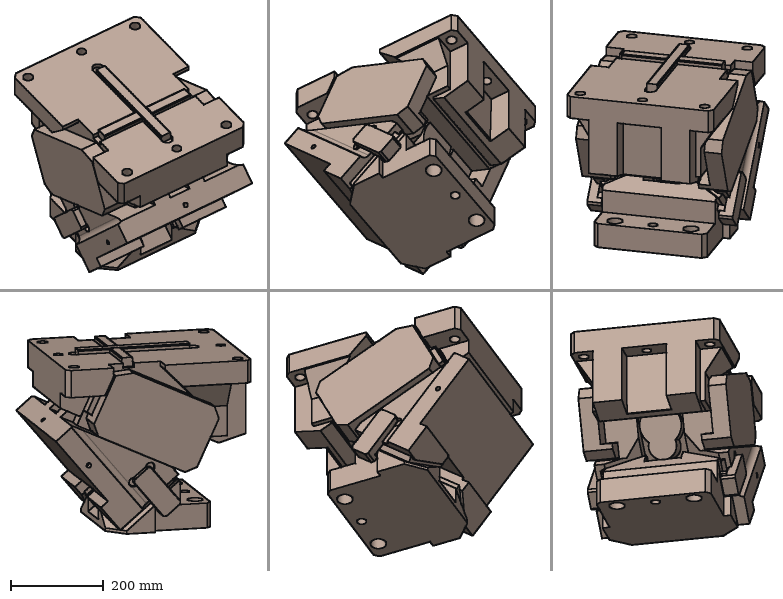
import cadquery as cq
import math


UNIT_HEIGHT = 384.0
KEY_PROUD = 10.0
PLATE_TOP = UNIT_HEIGHT - KEY_PROUD
PLATE_LENGTH = 415.0
PLATE_HALF = 165.0
CORNER_CHAMFER = 10.0

SLIDE_ANGLE = math.radians(25)
SLIDE_X = 61.0
SLIDE_Z = 183.5
CAM_ANGLE = math.radians(40)
CAM_X = 164.1
CAM_Z = 124.0


def slide_point(along, depth):
    x = SLIDE_X + along * math.cos(SLIDE_ANGLE) + depth * math.sin(SLIDE_ANGLE)
    z = SLIDE_Z + along * math.sin(SLIDE_ANGLE) - depth * math.cos(SLIDE_ANGLE)
    return (x, z)


def cam_point(rise, travel):
    x = CAM_X + rise * math.sin(CAM_ANGLE) + travel * math.cos(CAM_ANGLE)
    z = CAM_Z + rise * math.cos(CAM_ANGLE) - travel * math.sin(CAM_ANGLE)
    return (x, z)


def side_prism(points, half_width):
    """Side outline in X and Z, extruded evenly about Y = 0."""
    return cq.Workplane("XZ").polyline(points).close().extrude(half_width, both=True)


def side_prism_between(points, y_start, y_end):
    """Side outline in X and Z, extruded from one Y to another."""
    return cq.Workplane("XZ", origin=(0, y_start, 0)).polyline(points).close().extrude(y_start - y_end)


def slide_prism(outline, half_width):
    return side_prism([slide_point(along, depth) for along, depth in outline], half_width)


def cam_prism(outline, half_width):
    return side_prism([cam_point(rise, travel) for rise, travel in outline], half_width)


def ridge_workplane(travel):
    """Plane across the driver ridge: local X is Y, local Y is the rise."""
    x, z = cam_point(0, travel)
    normal = (math.cos(CAM_ANGLE), 0, -math.sin(CAM_ANGLE))
    return cq.Workplane(cq.Plane(origin=(x, 0, z), xDir=(0, 1, 0), normal=normal))


def ridge_prism(section, travel_start, travel_end):
    """Section in Y and rise, extruded along the ridge."""
    return ridge_workplane(travel_start).polyline(section).close().extrude(travel_end - travel_start)


def both_sides(body):
    return body.union(body.mirror("XZ"))


FLANGE_HALF = 124.0
FLANGE_DEPTH = 48.0
NECK_HALF = 98.0
SHOULDER_DEPTH = 62.0
SIDE_SHOULDER_DEPTH = 84.0
SLIDER_START = 91.0
SLIDER_END = 306.0
LUG_START = 312.0

ROOF_SLOPE = math.tan(math.radians(30))
ROOF_PEAK = 63.5
GROOVE_EDGE = 127.0
DRIVER_LIP_HALF = 131.0
DRIVER_FLANGE_HALF = 142.5
DRIVER_FLANGE_BOTTOM = -31.5
KEEPER_START = 30.6
KEEPER_END = 80.0


def roof_rise(y):
    return ROOF_PEAK - ROOF_SLOPE * y


CORE_HALF = 125.0
LEFT_PLATE_BOTTOM = PLATE_TOP - 50.0
RIGHT_PLATE_BOTTOM = PLATE_TOP - 60.0
NOTCH_LEFT = 194.0
NOTCH_RIGHT = 310.0
NOTCH_LIP = 10.0
NOTCH_FOOT = NOTCH_LEFT - (PLATE_TOP - NOTCH_LIP - LEFT_PLATE_BOTTOM)
NOTCH_RIGHT_ALONG = 298.0
WALL_DEPTH = 45.0
WALL_HALF = 114.0
WALL_BOTTOM = 201.0
WALL_TIP_ALONG = 31.0
RECESS_HALF = 49.5
RECESS_FLOOR = 188.3
RECESS_TAPER = 3.0
GUSSET_HALF = 161.0
GUSSET_BOTTOM = 267.5

HOOK_HALF = 164.0
HOOK_FOOT_INNER = 99.0
HOOK_FOOT_DEPTH = 49.0
HOOK_START = 39.0
HOOK_END = 294.0
HOOK_TOP = -74.3
HOOK_BOTTOM = 82.0
HOOK_CORNER = 20.5
HOOK_WIDE_CORNER = 35.0

KEY_WIDTH = 24.0
KEY_BEVEL_HEIGHT = 3.0
KEY_BEVEL_WIDTH = 1.0
KEY_SLOT_WIDTH = 25.0
KEY_SLOT_DEPTH = 10.0
LONG_KEY_START = 98.0
LONG_KEY_LENGTH = 250.0
LONG_SLOT_START = 74.5
LONG_SLOT_END = 365.0
CROSS_KEY_X = 265.0
CROSS_KEY_LENGTH = 225.0

SCREW_DIAMETER = 22.0
DOWEL_DIAMETER = 20.0
LEFT_HOLE_X = 25.0
LEFT_HOLE_Y = 140.0
RIGHT_HOLE_X = 389.0
RIGHT_HOLE_Y = 130.0


def plate():
    """Top plate of two thicknesses, notched on both sides for the hook plates."""
    blank = (
        cq.Workplane("XY", origin=(0, 0, RIGHT_PLATE_BOTTOM))
        .rect(PLATE_LENGTH, 2 * PLATE_HALF)
        .extrude(PLATE_TOP - RIGHT_PLATE_BOTTOM)
        .edges("|Z")
        .chamfer(CORNER_CHAMFER)
        .translate((PLATE_LENGTH / 2, 0, 0))
    )
    left_part = [
        (0, PLATE_TOP),
        (NOTCH_LEFT, PLATE_TOP),
        (NOTCH_LEFT, PLATE_TOP - NOTCH_LIP),
        (NOTCH_FOOT, LEFT_PLATE_BOTTOM),
        (0, LEFT_PLATE_BOTTOM),
    ]
    notch_slope = math.tan(SLIDE_ANGLE)
    slant_x, slant_z = slide_point(NOTCH_RIGHT_ALONG, 0)
    right_part = [
        (NOTCH_RIGHT, PLATE_TOP),
        (PLATE_LENGTH, PLATE_TOP),
        (PLATE_LENGTH, RIGHT_PLATE_BOTTOM),
        (slant_x - (RIGHT_PLATE_BOTTOM - slant_z) * notch_slope, RIGHT_PLATE_BOTTOM),
        (NOTCH_RIGHT, slant_z + (slant_x - NOTCH_RIGHT) / notch_slope),
    ]
    profile = side_prism(left_part, PLATE_HALF).union(side_prism(right_part, PLATE_HALF))
    return blank.intersect(profile)


def core():
    """Central block whose underside is the inclined slide surface, behind a recessed front wall."""
    slide_slope = math.tan(SLIDE_ANGLE)
    side_bottom_x = SLIDE_X + (WALL_BOTTOM - SLIDE_Z) / slide_slope
    end_x, end_z = slide_point(LUG_START, 0)
    block = side_prism(
        [
            (WALL_DEPTH, PLATE_TOP),
            (WALL_DEPTH, WALL_BOTTOM),
            (side_bottom_x, WALL_BOTTOM),
            (end_x, end_z),
            (end_x, PLATE_TOP),
        ],
        CORE_HALF,
    )
    tip_x, tip_z = slide_point(WALL_TIP_ALONG, 0)
    wall = side_prism(
        [
            (0, LEFT_PLATE_BOTTOM),
            (0, WALL_BOTTOM),
            (SLIDE_X, SLIDE_Z),
            (tip_x, tip_z),
            (tip_x, LEFT_PLATE_BOTTOM),
        ],
        WALL_HALF,
    )
    recess = side_prism(
        [
            (0, LEFT_PLATE_BOTTOM),
            (WALL_DEPTH, LEFT_PLATE_BOTTOM),
            (WALL_DEPTH + RECESS_TAPER, RECESS_FLOOR),
            (0, RECESS_FLOOR),
        ],
        RECESS_HALF,
    )
    return block.union(wall).cut(recess)


def stop_lug():
    """Lug below the right end of the plate that faces the end of the slider."""
    corner_x, corner_z = slide_point(LUG_START, SHOULDER_DEPTH)
    end_z = corner_z + (PLATE_LENGTH - corner_x) * math.tan(SLIDE_ANGLE)
    return side_prism(
        [
            slide_point(LUG_START, 0),
            (corner_x, corner_z),
            (PLATE_LENGTH, end_z),
            (PLATE_LENGTH, RIGHT_PLATE_BOTTOM),
        ],
        WALL_HALF,
    )


def gussets():
    """Sloped braces from the core sides out to the plate, cut off by the notch slope."""
    height = LEFT_PLATE_BOTTOM - GUSSET_BOTTOM
    wedge = (
        cq.Workplane("YZ", origin=(WALL_DEPTH, 0, 0))
        .polyline(
            [
                (CORE_HALF, LEFT_PLATE_BOTTOM),
                (GUSSET_HALF, LEFT_PLATE_BOTTOM),
                (CORE_HALF, GUSSET_BOTTOM),
            ]
        )
        .close()
        .extrude(NOTCH_FOOT - WALL_DEPTH)
    )
    keep = side_prism(
        [
            (WALL_DEPTH, LEFT_PLATE_BOTTOM),
            (NOTCH_FOOT, LEFT_PLATE_BOTTOM),
            (NOTCH_FOOT - height, GUSSET_BOTTOM),
            (WALL_DEPTH, GUSSET_BOTTOM),
        ],
        PLATE_HALF,
    )
    return both_sides(wedge.intersect(keep))


def hook_plates():
    """Side plates with a foot that reaches under the slider flange."""
    outline = [
        (HOOK_START, HOOK_TOP + HOOK_CORNER),
        (HOOK_START + HOOK_CORNER, HOOK_TOP),
        (HOOK_END - HOOK_WIDE_CORNER, HOOK_TOP),
        (HOOK_END, HOOK_TOP + HOOK_CORNER),
        (HOOK_END, HOOK_BOTTOM - HOOK_CORNER),
        (HOOK_END - HOOK_CORNER, HOOK_BOTTOM),
        (HOOK_START + HOOK_CORNER, HOOK_BOTTOM),
        (HOOK_START, HOOK_BOTTOM - HOOK_CORNER),
    ]
    points = [slide_point(along, depth) for along, depth in outline]
    cheek = side_prism_between(points, CORE_HALF, HOOK_HALF)
    foot_band = slide_prism(
        [
            (HOOK_START, HOOK_FOOT_DEPTH),
            (HOOK_END, HOOK_FOOT_DEPTH),
            (HOOK_END, HOOK_BOTTOM),
            (HOOK_START, HOOK_BOTTOM),
        ],
        HOOK_HALF,
    )
    foot = side_prism_between(points, HOOK_FOOT_INNER, CORE_HALF).intersect(foot_band)
    return both_sides(cheek.union(foot))


def key_bar(length):
    """Key along X, centred on the origin, its floor at Z = 0 and its long top edges bevelled."""
    half = KEY_WIDTH / 2
    height = KEY_PROUD + KEY_SLOT_DEPTH
    section = [
        (-half, 0),
        (half, 0),
        (half, height - KEY_BEVEL_HEIGHT),
        (half - KEY_BEVEL_WIDTH, height),
        (KEY_BEVEL_WIDTH - half, height),
        (-half, height - KEY_BEVEL_HEIGHT),
    ]
    return cq.Workplane("YZ").polyline(section).close().extrude(length / 2, both=True)


def key_slots():
    floor = PLATE_TOP - KEY_SLOT_DEPTH
    long_slot = (
        cq.Workplane("XY", origin=((LONG_SLOT_START + LONG_SLOT_END) / 2, 0, floor))
        .slot2D(LONG_SLOT_END - LONG_SLOT_START, KEY_SLOT_WIDTH)
        .extrude(KEY_SLOT_DEPTH)
    )
    cross_slot = (
        cq.Workplane("XY", origin=(CROSS_KEY_X, 0, floor))
        .rect(KEY_SLOT_WIDTH, 2 * CORE_HALF)
        .extrude(KEY_SLOT_DEPTH)
    )
    return long_slot.union(cross_slot)


def keys():
    """Long key, and a cross key split in two where the long slot passes."""
    floor = PLATE_TOP - KEY_SLOT_DEPTH
    long_key = key_bar(LONG_KEY_LENGTH).translate((LONG_KEY_START + LONG_KEY_LENGTH / 2, 0, floor))
    cross_key = (
        key_bar(CROSS_KEY_LENGTH)
        .rotate((0, 0, 0), (0, 0, 1), 90)
        .translate((CROSS_KEY_X, 0, floor))
    )
    long_slot_room = cq.Workplane("XY").box(PLATE_LENGTH * 2, KEY_SLOT_WIDTH, UNIT_HEIGHT * 2)
    return long_key.union(cross_key.cut(long_slot_room))


def plate_holes():
    def drill(points, diameter):
        return cq.Workplane("XY").pushPoints(points).circle(diameter / 2).extrude(UNIT_HEIGHT)

    screws = [(LEFT_HOLE_X, side * LEFT_HOLE_Y) for side in (-1, 1)]
    screws += [(RIGHT_HOLE_X, side * RIGHT_HOLE_Y) for side in (-1, 1)]
    dowels = [(LEFT_HOLE_X, 0), (RIGHT_HOLE_X, 0)]
    return drill(screws, SCREW_DIAMETER).union(drill(dowels, DOWEL_DIAMETER))


holder = plate().union(core()).union(stop_lug()).union(gussets()).cut(plate_holes()).cut(key_slots())
holder = holder.union(keys()).union(hook_plates())

SLIDER_NOSE = -5.3
SLIDER_SIDE_HALF = 149.0
BAR_HALF = 164.0
BAR_FILLET_END = 104.0
BAR_STEP = BAR_HALF - SLIDER_SIDE_HALF
WORKING_FACE = 149.5
TOE_FACE = 170.0
TOE_TOP = 68.0
SLIDER_TOP = 249.0
END_RIB_INNER = 25.0
END_RIB_OUTER = 65.0
WEAR_PLATE_START = 10.0
WEAR_PLATE_END = 162.0
WEAR_PLATE_INNER = 41.5
WEAR_PLATE_END_SLANT = 7.0
GROOVE_CHANNEL_HALF = 51.0

KEEPER_BOTTOM = -47.5
KEEPER_TOP = 63.0
KEEPER_INNER = 143.0
KEEPER_HOOK_INNER = 132.0
KEEPER_CHAMFER = 5.0
RELIEF_RADIUS = 10.0
RELIEF_DEPTH = 9.0
RELIEF_RISE = 55.5

SPRING_BOSS_LENGTH = 60.0
SPRING_BOSSES = [(20.0, 46.0), (65.0, 31.0)]

TAP_DIAMETER = 10.0
TAP_DEPTH = 20.0
TAP_TRAVEL = 129.5
SIDE_TAP_RISE = 158.0


def cam_body():
    """Full-width body across the driver, with concave steps from the sides out to the bar."""
    outline = [
        (0, SLIDER_NOSE),
        (0, TOE_FACE),
        (TOE_TOP, TOE_FACE),
        (TOE_TOP, WORKING_FACE),
        (SLIDER_TOP, WORKING_FACE),
        (SLIDER_TOP, SLIDER_NOSE),
    ]
    block = cam_prism(outline, BAR_HALF)
    start_x, start_z = cam_point(0, 0)
    along_rise = cq.Plane(
        origin=(start_x, 0, start_z),
        xDir=(math.cos(CAM_ANGLE), 0, -math.sin(CAM_ANGLE)),
        normal=(math.sin(CAM_ANGLE), 0, math.cos(CAM_ANGLE)),
    )
    fillet_start = BAR_FILLET_END - BAR_STEP
    quarter = BAR_STEP * math.sqrt(0.5)
    step = (
        cq.Workplane(along_rise)
        .moveTo(SLIDER_NOSE, SLIDER_SIDE_HALF)
        .lineTo(fillet_start, SLIDER_SIDE_HALF)
        .threePointArc(
            (fillet_start + quarter, BAR_HALF - quarter),
            (BAR_FILLET_END, BAR_HALF),
        )
        .lineTo(SLIDER_NOSE, BAR_HALF)
        .close()
        .extrude(SLIDER_TOP)
    )
    reach = 2 * SLIDER_END
    above_shoulder = slide_prism(
        [
            (-reach, SIDE_SHOULDER_DEPTH),
            (reach, SIDE_SHOULDER_DEPTH),
            (reach, -reach),
            (-reach, -reach),
        ],
        BAR_HALF,
    )
    return block.cut(both_sides(step)).cut(above_shoulder)


def slide_neck():
    return slide_prism(
        [
            (SLIDER_START, 0),
            (SLIDER_END, 0),
            (SLIDER_END, SIDE_SHOULDER_DEPTH),
            (SLIDER_START, SIDE_SHOULDER_DEPTH),
        ],
        NECK_HALF,
    )


def end_ribs():
    """Ribs from the end of the neck to the end face of the slider."""
    reach = 2 * SLIDER_END
    points = [
        slide_point(SLIDER_END, SHOULDER_DEPTH),
        slide_point(reach, SHOULDER_DEPTH),
        slide_point(reach, SIDE_SHOULDER_DEPTH),
        slide_point(SLIDER_END, SIDE_SHOULDER_DEPTH),
    ]
    rib = side_prism_between(points, END_RIB_INNER, END_RIB_OUTER)
    below_top = cam_prism(
        [(0, 0), (SLIDER_TOP, 0), (SLIDER_TOP, WORKING_FACE), (0, WORKING_FACE)],
        BAR_HALF,
    )
    return both_sides(rib.intersect(below_top))


def slide_flange():
    return slide_prism(
        [
            (SLIDER_START, 0),
            (SLIDER_END, 0),
            (SLIDER_END, FLANGE_DEPTH),
            (SLIDER_START, FLANGE_DEPTH),
        ],
        FLANGE_HALF,
    )


def groove():
    """V groove that straddles the driver ridge, opened to a square channel in the middle."""
    peak = ROOF_SLOPE * GROOVE_EDGE
    channel_edge = peak - ROOF_SLOPE * GROOVE_CHANNEL_HALF
    section = [
        (-GROOVE_EDGE, 0),
        (-GROOVE_CHANNEL_HALF, channel_edge),
        (-GROOVE_CHANNEL_HALF, peak),
        (GROOVE_CHANNEL_HALF, peak),
        (GROOVE_CHANNEL_HALF, channel_edge),
        (GROOVE_EDGE, 0),
    ]
    return ridge_prism(section, -TOE_FACE, 2 * TOE_FACE)


def wear_plates():
    """Plates that fill the groove down to the driver roof."""
    section = [
        (WEAR_PLATE_INNER, roof_rise(WEAR_PLATE_INNER)),
        (DRIVER_LIP_HALF, roof_rise(DRIVER_LIP_HALF)),
        (DRIVER_LIP_HALF + WEAR_PLATE_END_SLANT, 0),
        (GROOVE_EDGE, 0),
        (WEAR_PLATE_INNER, ROOF_SLOPE * (GROOVE_EDGE - WEAR_PLATE_INNER)),
    ]
    return both_sides(ridge_prism(section, WEAR_PLATE_START, WEAR_PLATE_END))


def spring_bosses():
    """Round bosses along the slide direction, under the middle of the slider nose."""
    direction = (math.cos(SLIDE_ANGLE), 0, math.sin(SLIDE_ANGLE))
    bosses = cq.Workplane("XY")
    for depth, radius in SPRING_BOSSES:
        x, z = slide_point(SLIDER_START, depth)
        plane = cq.Plane(origin=(x, 0, z), xDir=(0, 1, 0), normal=direction)
        bosses = bosses.union(cq.Workplane(plane).circle(radius).extrude(SPRING_BOSS_LENGTH))
    below_slide_surface = slide_prism(
        [(0, 0), (SLIDER_END, 0), (SLIDER_END, SLIDER_END), (0, SLIDER_END)],
        GROOVE_CHANNEL_HALF,
    )
    return bosses.intersect(below_slide_surface)


def keepers():
    """Side claws that hook under the driver flange."""
    corners = [
        cam_point(KEEPER_BOTTOM, KEEPER_START),
        cam_point(KEEPER_TOP, KEEPER_START),
        cam_point(KEEPER_TOP, KEEPER_END),
        cam_point(KEEPER_BOTTOM, KEEPER_END),
    ]
    claw = side_prism_between(corners, KEEPER_HOOK_INNER, BAR_HALF).edges("|Y").chamfer(KEEPER_CHAMFER)
    flange_room = ridge_prism(
        [(0, DRIVER_FLANGE_BOTTOM), (KEEPER_INNER, DRIVER_FLANGE_BOTTOM), (KEEPER_INNER, 0), (0, 0)],
        KEEPER_START,
        KEEPER_END,
    )
    side_room = ridge_prism(
        [(0, 0), (SLIDER_SIDE_HALF, 0), (SLIDER_SIDE_HALF, KEEPER_TOP), (0, KEEPER_TOP)],
        KEEPER_START,
        KEEPER_END,
    )
    return both_sides(claw.cut(flange_room).cut(side_room))


def keeper_reliefs():
    points = [cam_point(RELIEF_RISE, travel) for travel in (KEEPER_START, KEEPER_END)]
    pockets = (
        cq.Workplane("XZ", origin=(0, SLIDER_SIDE_HALF, 0))
        .pushPoints(points)
        .circle(RELIEF_RADIUS)
        .extrude(RELIEF_DEPTH)
    )
    return both_sides(pockets)


def tapped_holes():
    side = (
        cq.Workplane("XZ", origin=(0, BAR_HALF, 0))
        .pushPoints([cam_point(SIDE_TAP_RISE, TAP_TRAVEL)])
        .circle(TAP_DIAMETER / 2)
        .extrude(TAP_DEPTH)
    )
    x, z = cam_point(SLIDER_TOP, TAP_TRAVEL)
    into_top = (-math.sin(CAM_ANGLE), 0, -math.cos(CAM_ANGLE))
    top_plane = cq.Plane(origin=(x, 0, z), xDir=(0, 1, 0), normal=into_top)
    top = cq.Workplane(top_plane).circle(TAP_DIAMETER / 2).extrude(TAP_DEPTH)
    return both_sides(side).union(top)


slider = cam_body().union(slide_neck()).union(slide_flange()).union(end_ribs()).cut(groove())
slider = slider.union(wear_plates()).union(spring_bosses()).cut(keeper_reliefs())
slider = slider.union(keepers()).cut(tapped_holes())

DRIVER_START = 80.0
DRIVER_END = 311.0
DRIVER_HALF = 127.0
DRIVER_STEP_X = 210.0
FOOT_HEIGHT = 55.0
FOOT_LENGTH = 70.5
DRIVER_NOSE = 1.5
END_BEVEL_LENGTH = 37.0
END_BEVEL_WIDTH = 41.0
RIDGE_CHANNEL_HALF = 41.0
RIDGE_CHANNEL_FLOOR = 9.8
LIP_DROP = 7.0
DRIVER_HOLE_X = 106.0
DRIVER_SCREW_Y = 85.5
DRIVER_SCREW_DIAMETER = 34.0


def driver_profile():
    """Side outline up to the ridge line, before the roof is cut."""
    back_x = DRIVER_START + FOOT_LENGTH
    peak_x, peak_z = cam_point(ROOF_PEAK, DRIVER_NOSE)
    nose_z = peak_z - (peak_x - back_x) / math.tan(CAM_ANGLE)
    end_z = peak_z - (DRIVER_END - peak_x) * math.tan(CAM_ANGLE)
    return [
        (DRIVER_START, 0),
        (DRIVER_END, 0),
        (DRIVER_END, end_z),
        (peak_x, peak_z),
        (back_x, nose_z),
        (back_x, FOOT_HEIGHT),
        (DRIVER_START, FOOT_HEIGHT),
    ]


def driver_wide_part():
    beyond_step = cq.Workplane("XY", origin=(DRIVER_STEP_X, 0, 0)).box(
        DRIVER_END - DRIVER_STEP_X, 2 * DRIVER_FLANGE_HALF, UNIT_HEIGHT, centered=(False, True, False)
    )
    return side_prism(driver_profile(), DRIVER_FLANGE_HALF).intersect(beyond_step)


def end_corner_cuts():
    """Large bevels on the upright corners at the far end."""
    corner = [
        (DRIVER_END, DRIVER_FLANGE_HALF),
        (DRIVER_END - END_BEVEL_LENGTH, DRIVER_FLANGE_HALF),
        (DRIVER_END, DRIVER_FLANGE_HALF - END_BEVEL_WIDTH),
    ]
    return both_sides(cq.Workplane("XY").polyline(corner).close().extrude(UNIT_HEIGHT))


def driver_edges():
    """Overhanging roof lip, and the wider flange that the keepers hook under."""
    lip = ridge_prism(
        [
            (0, roof_rise(DRIVER_LIP_HALF)),
            (DRIVER_LIP_HALF, roof_rise(DRIVER_LIP_HALF)),
            (DRIVER_HALF, roof_rise(DRIVER_LIP_HALF) - LIP_DROP),
            (0, roof_rise(DRIVER_LIP_HALF) - LIP_DROP),
        ],
        DRIVER_NOSE,
        KEEPER_END,
    )
    flange = ridge_prism(
        [
            (0, DRIVER_FLANGE_BOTTOM),
            (DRIVER_FLANGE_HALF, DRIVER_FLANGE_BOTTOM),
            (DRIVER_FLANGE_HALF, roof_rise(DRIVER_FLANGE_HALF)),
            (0, roof_rise(DRIVER_FLANGE_HALF)),
        ],
        KEEPER_START,
        KEEPER_END,
    )
    return both_sides(lip.union(flange))


def above_roof():
    edge = PLATE_HALF
    section = [
        (-edge, roof_rise(edge)),
        (0, ROOF_PEAK),
        (edge, roof_rise(edge)),
        (edge, UNIT_HEIGHT),
        (-edge, UNIT_HEIGHT),
    ]
    return ridge_prism(section, -UNIT_HEIGHT, UNIT_HEIGHT)


def ridge_channel():
    section = [
        (-RIDGE_CHANNEL_HALF, RIDGE_CHANNEL_FLOOR),
        (RIDGE_CHANNEL_HALF, RIDGE_CHANNEL_FLOOR),
        (RIDGE_CHANNEL_HALF, ROOF_PEAK),
        (-RIDGE_CHANNEL_HALF, ROOF_PEAK),
    ]
    return ridge_prism(section, -UNIT_HEIGHT, UNIT_HEIGHT)


def driver_holes():
    screws = [(DRIVER_HOLE_X, side * DRIVER_SCREW_Y) for side in (-1, 1)]
    screw_holes = (
        cq.Workplane("XY").pushPoints(screws).circle(DRIVER_SCREW_DIAMETER / 2).extrude(FOOT_HEIGHT)
    )
    dowel_hole = (
        cq.Workplane("XY").center(DRIVER_HOLE_X, 0).circle(DOWEL_DIAMETER / 2).extrude(FOOT_HEIGHT)
    )
    return screw_holes.union(dowel_hole)


driver = side_prism(driver_profile(), DRIVER_HALF).edges("|Z and <X").chamfer(CORNER_CHAMFER)
driver = driver.union(driver_wide_part()).union(driver_edges())
driver = driver.cut(above_roof()).cut(ridge_channel()).cut(end_corner_cuts()).cut(driver_holes())

result = cq.Compound.makeCompound([body.solids().val() for body in (holder, slider, driver)])